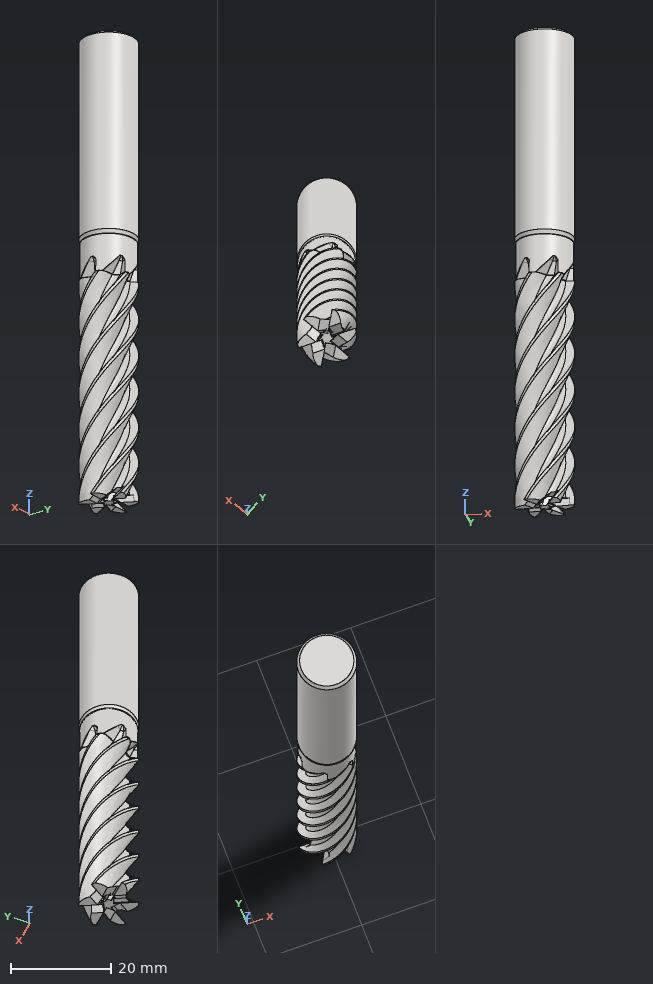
import cadquery as cq
import math

TOTAL_LENGTH = 100.0
CUT_LENGTH = 48.0
NECK_TOP = 56.0
SHANK_BOTTOM = 56.9
SHANK_RADIUS = 6.0
NECK_RADIUS = 5.8
GROOVE_RADIUS = 5.6
CHAMFER_WIDTH = 0.6
CHAMFER_HEIGHT = 0.6

TEETH = 6
CUT_RADIUS = 6.0
HELIX_ANGLE = 39.0
PITCH_ANGLE = 360 / TEETH
LEAD = 2 * math.pi * CUT_RADIUS / math.tan(math.radians(HELIX_ANGLE))
TWIST = 360 * CUT_LENGTH / LEAD

EDGE = (CUT_RADIUS, 0.0)
MARGIN_ANGLE = 7.5
MARGIN_MIDDLE = (CUT_RADIUS, MARGIN_ANGLE / 2)
MARGIN_END = (CUT_RADIUS, MARGIN_ANGLE)
BACK_MIDDLE = (5.0, 21.0)
FLOOR_START = (3.6, 38.0)
FLOOR_MIDDLE = (3.5, 48.0)
FLOOR_END = (4.2, 59.5)
NEXT_EDGE = (CUT_RADIUS, PITCH_ANGLE)

RUNOUT_OUTSIDE = 6.5
RUNOUT_START_BACK = 14.6
RUNOUT_SHOULDER_HEIGHT = 2.6
RUNOUT_SHOULDER_BACK = 42.0
RUNOUT_SHOULDER_RADIUS = 5.0
RUNOUT_TIP_HEIGHT = 3.4
RUNOUT_TIP_BACK = 49.0
RUNOUT_TIP_FRONT = 54.0
RUNOUT_TIP_RADIUS = 5.7

GASH_HEIGHT = 2.0
GASH_LEAN = 1.3
GASH_TOP_WIDTH = 1.0
GASH_WIDTH = 2.0
GASH_START_RADIUS = 1.0


def polar(radius, angle):
    """Point in the XY plane at a radius and an angle in degrees."""
    return (radius * math.cos(math.radians(angle)), radius * math.sin(math.radians(angle)))


def tooth_section():
    """Closed cross-section of all the teeth, with the first cutting edge on the X axis."""
    section = cq.Workplane("XY").moveTo(*polar(*EDGE))
    for tooth in range(TEETH):
        start = tooth * PITCH_ANGLE
        margin_middle, margin_end, back_middle, floor_start, floor_middle, floor_end, next_edge = [
            polar(radius, start + angle)
            for radius, angle in (
                MARGIN_MIDDLE, MARGIN_END, BACK_MIDDLE, FLOOR_START, FLOOR_MIDDLE, FLOOR_END, NEXT_EDGE
            )
        ]
        section = (
            section.threePointArc(margin_middle, margin_end)
            .threePointArc(back_middle, floor_start)
            .threePointArc(floor_middle, floor_end)
        )
        is_last = tooth == TEETH - 1
        section = section.close() if is_last else section.lineTo(*next_edge)
    return section


def make_gash():
    """Cutting shape for the end gash in front of the tooth on the X axis."""
    return (
        cq.Workplane("YZ", origin=(GASH_START_RADIUS, 0, 0))
        .polyline([
            (0, 0),
            (GASH_LEAN, GASH_HEIGHT),
            (GASH_LEAN - GASH_TOP_WIDTH, GASH_HEIGHT),
            (-GASH_WIDTH, 0),
        ])
        .close()
        .extrude(CUT_RADIUS)
    )


def make_cutter():
    """Helical toothed body with a gash in front of each tooth on its end."""
    cutter = tooth_section().twistExtrude(CUT_LENGTH, TWIST)
    gash = make_gash()
    for tooth in range(TEETH):
        cutter = cutter.cut(gash.rotate((0, 0, 0), (0, 0, 1), tooth * PITCH_ANGLE))
    return cutter


def runout_section(height, back, floor, front):
    """Wire across a run-out, from its back angle over its floor points to its front angle."""
    points = [(RUNOUT_OUTSIDE, back), (NECK_RADIUS, back), *floor, (RUNOUT_OUTSIDE, front)]
    level = CUT_LENGTH + height
    return cq.Wire.makePolygon([cq.Vector(*polar(*point), level) for point in points], close=True)


def make_runout():
    """Cutting shape that lets one flute fade out of the neck."""
    shoulder_floor = [
        (RUNOUT_SHOULDER_RADIUS, (RUNOUT_SHOULDER_BACK + PITCH_ANGLE) / 2),
        (RUNOUT_SHOULDER_RADIUS, PITCH_ANGLE),
    ]
    tip_floor = [
        (RUNOUT_TIP_RADIUS, (RUNOUT_TIP_BACK + RUNOUT_TIP_FRONT) / 2),
        (RUNOUT_TIP_RADIUS, RUNOUT_TIP_FRONT),
    ]
    sections = [
        runout_section(0, RUNOUT_START_BACK, [FLOOR_START, FLOOR_END], PITCH_ANGLE),
        runout_section(RUNOUT_SHOULDER_HEIGHT, RUNOUT_SHOULDER_BACK, shoulder_floor, PITCH_ANGLE),
        runout_section(RUNOUT_TIP_HEIGHT, RUNOUT_TIP_BACK, tip_floor, RUNOUT_TIP_FRONT),
    ]
    return cq.Workplane("XY").add(cq.Solid.makeLoft(sections, ruled=True))


def make_shank():
    """Chamfered shank tapering to a shallow groove, and the neck with the flute run-outs."""
    shank = (
        cq.Workplane("YZ")
        .polyline([
            (0, CUT_LENGTH),
            (-NECK_RADIUS, CUT_LENGTH),
            (-NECK_RADIUS, NECK_TOP),
            (-GROOVE_RADIUS, NECK_TOP),
            (-SHANK_RADIUS, SHANK_BOTTOM),
            (-SHANK_RADIUS, TOTAL_LENGTH - CHAMFER_HEIGHT),
            (-SHANK_RADIUS + CHAMFER_WIDTH, TOTAL_LENGTH),
            (0, TOTAL_LENGTH),
        ])
        .close()
        .revolve(360, (0, 0, 0), (0, 1, 0))
    )
    runout = make_runout()
    for tooth in range(TEETH):
        shank = shank.cut(runout.rotate((0, 0, 0), (0, 0, 1), TWIST + tooth * PITCH_ANGLE))
    return shank


cutter = make_cutter()
shank = make_shank()
result = cq.Compound.makeCompound([cutter.solids().val(), shank.solids().val()])